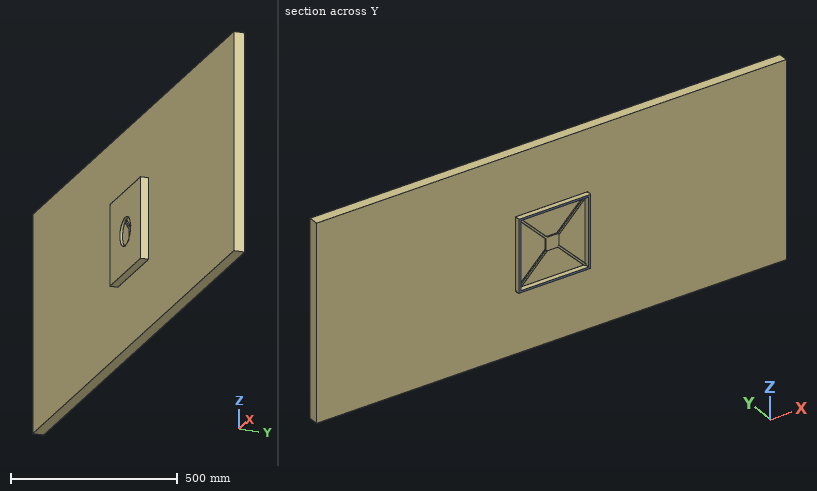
import cadquery as cq

panel_width = 1700.0
panel_height = 700.0
panel_thickness = 35.0

overall_depth = 61.0
cover_side = 260.0
cover_wall = 8.0
cover_depth = overall_depth - panel_thickness
cavity_side = cover_side - 2 * cover_wall
cover_hole_diameter = 90.0

hub_side = 48.0
spider_thickness = 5.0
arm_width = 7.0
arm_angles = (45, 135)


def slab(width, height, y_front, y_back):
    """Box centred on X and Z that runs from y_front to y_back."""
    depth = y_back - y_front
    return cq.Workplane("XY").box(width, depth, height).translate((0, y_front + depth / 2, 0))


def make_panel():
    return slab(panel_width, panel_height, 0, panel_thickness)


def make_cover():
    """Hollow box with walls of one thickness and a round hole in its front."""
    cavity = slab(cavity_side, cavity_side, cover_wall - cover_depth, 0)
    hole = cq.Workplane("XZ").circle(cover_hole_diameter / 2).extrude(cover_depth)
    return slab(cover_side, cover_side, -cover_depth, 0).cut(cavity).cut(hole)


def make_spider():
    """Square hub on two crossed diagonal bars, which are trimmed to the cavity outline."""
    spider = slab(hub_side, hub_side, -spider_thickness, 0)
    bar_length = 2 * cavity_side
    bar = slab(bar_length, arm_width, -spider_thickness, 0)
    for angle in arm_angles:
        spider = spider.union(bar.rotate((0, 0, 0), (0, 1, 0), angle))
    return spider.intersect(slab(cavity_side, cavity_side, -spider_thickness, 0))


panel = make_panel()
cover = make_cover()
spider = make_spider()

result = cq.Compound.makeCompound([panel.val(), cover.val(), spider.val()])